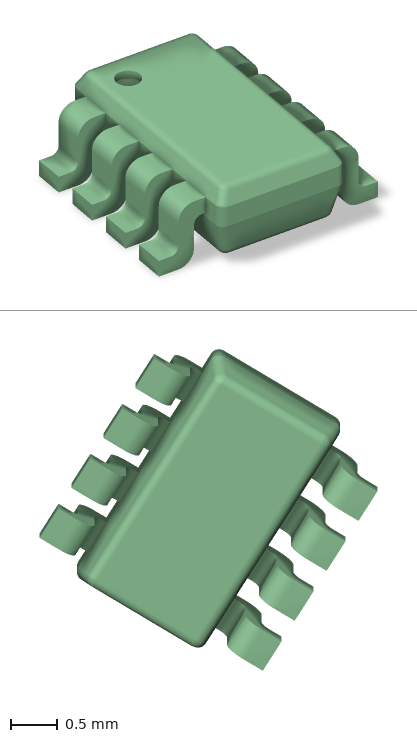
import cadquery as cq

BODY_LENGTH = 2.9
BODY_WIDTH = 1.6
TOTAL_HEIGHT = 1.0
STANDOFF = 0.1
BELT_BOTTOM = 0.55
BELT_TOP = 0.8
TOP_INSET = 0.105
BOTTOM_INSET = 0.095
EDGE_RADIUS = 0.1

MARK_DIAMETER = 0.3
MARK_DEPTH = 0.1
MARK_X = -0.96
MARK_Y = -0.397

LEAD_SPAN = 2.8
LEADS_PER_SIDE = 4
LEAD_PITCH = 0.65
LEAD_WIDTH = 0.383
LEAD_THICKNESS = 0.2
FOOT_LENGTH = 0.25
OUTER_BEND_RADIUS = 0.2
INNER_BEND_RADIUS = 0.1


def make_belt_to_face(belt_height, face_height, inset):
    """Tapered block between one rim of the belt and the top or bottom face."""
    return (
        cq.Workplane("XY", origin=(0, 0, belt_height))
        .rect(BODY_LENGTH, BODY_WIDTH)
        .workplane(offset=face_height - belt_height)
        .rect(BODY_LENGTH - 2 * inset, BODY_WIDTH - 2 * inset)
        .loft(ruled=True)
    )


def make_body():
    belt = (
        cq.Workplane("XY", origin=(0, 0, BELT_BOTTOM))
        .rect(BODY_LENGTH, BODY_WIDTH)
        .extrude(BELT_TOP - BELT_BOTTOM)
    )
    upper = make_belt_to_face(BELT_TOP, TOTAL_HEIGHT, TOP_INSET)
    lower = make_belt_to_face(BELT_BOTTOM, STANDOFF, BOTTOM_INSET)
    block = belt.union(upper).union(lower)

    corners = block.edges("not #Z")
    face_rims = block.faces("<Z or >Z").edges()
    rounded = corners.add(face_rims).fillet(EDGE_RADIUS)

    mark = (
        cq.Workplane("XY", origin=(MARK_X, MARK_Y, TOTAL_HEIGHT - MARK_DEPTH))
        .circle(MARK_DIAMETER / 2)
        .extrude(MARK_DEPTH)
    )
    return rounded.cut(mark).solids()


def make_lead(x, side):
    """One lead centred on x, leaving the body towards +Y (side = 1) or -Y (side = -1)."""
    root = BODY_WIDTH / 2
    tip = LEAD_SPAN / 2
    upright_outside = tip - FOOT_LENGTH
    upright_inside = upright_outside - LEAD_THICKNESS
    shoulder_bottom = BELT_TOP - LEAD_THICKNESS

    profile = [
        (root, BELT_TOP),
        (upright_outside, BELT_TOP),
        (upright_outside, LEAD_THICKNESS),
        (tip, LEAD_THICKNESS),
        (tip, 0),
        (upright_inside, 0),
        (upright_inside, shoulder_bottom),
        (root, shoulder_bottom),
    ]
    outer_bends = [(upright_outside, BELT_TOP), (upright_inside, 0)]
    inner_bends = [(upright_outside, LEAD_THICKNESS), (upright_inside, shoulder_bottom)]

    lead = (
        cq.Workplane("YZ", origin=(x, 0, 0))
        .polyline([(side * y, z) for y, z in profile])
        .close()
        .extrude(LEAD_WIDTH / 2, both=True)
    )
    for bends, radius in ((outer_bends, OUTER_BEND_RADIUS), (inner_bends, INNER_BEND_RADIUS)):
        for y, z in bends:
            bend_edge = cq.selectors.NearestToPointSelector((x, side * y, z))
            lead = lead.edges("|X").edges(bend_edge).fillet(radius)
    return lead.solids()


body = make_body()

leads = []
for side in (-1, 1):
    for index in range(LEADS_PER_SIDE):
        lead_x = (index - (LEADS_PER_SIDE - 1) / 2) * LEAD_PITCH
        leads.append(make_lead(lead_x, side))

result = cq.Compound.makeCompound([body.val(), *[lead.val() for lead in leads]])